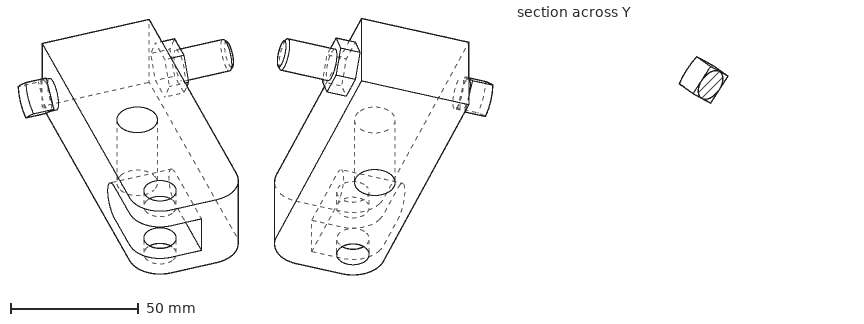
import cadquery as cq
import math

block_length = 114.3
block_width = 44.5
block_height = 31.8

end_radius = 12.7
pin_diameter = 12.7
slot_height = block_height / 2
slot_length = 38.1
slot_depth = 2 * end_radius

cross_hole_diameter = 15.9
cross_hole_y = 19.1

bolt_x = 12.7
bolt_diameter = 12.7
bolt_tip_y = 73.2
bolt_tip_chamfer = 1.1
head_side = 12.7
head_gap = 2.9
head_height = 9.7
head_dome_height = 1.3
nut_corner_diameter = 21.8
nut_height = 8.0


def xz_plane(y):
    """Sketch plane at the given Y, centred on the bolt axis, extruding toward +Y."""
    return cq.Workplane(cq.Plane(origin=(bolt_x, y, 0), xDir=(1, 0, 0), normal=(0, 1, 0)))


def make_block():
    """Block with rounded end corners, two vertical holes and a blind clevis slot."""
    block = (
        cq.Workplane("XY")
        .box(block_length, block_width, block_height, centered=(False, False, True))
        .edges("|Z and >X")
        .fillet(end_radius)
    )
    for x, y, diameter in (
        (block_length / 2, cross_hole_y, cross_hole_diameter),
        (block_length - end_radius, end_radius, pin_diameter),
    ):
        hole = cq.Workplane("XY").center(x, y).circle(diameter / 2).extrude(block_height, both=True)
        block = block.cut(hole)

    slot = (
        cq.Workplane("XZ")
        .center(block_length, 0)
        .slot2D(2 * slot_length, slot_height)
        .extrude(-slot_depth)
    )
    return block.cut(slot)


def make_shank():
    """Round shank from the head to the chamfered tip."""
    return (
        xz_plane(-head_gap)
        .circle(bolt_diameter / 2)
        .extrude(bolt_tip_y + head_gap)
        .faces(">Y")
        .chamfer(bolt_tip_chamfer)
    )


def make_head():
    """Square head standing on a corner, with a spherical outer face."""
    head = (
        xz_plane(-head_gap - head_height)
        .transformed(rotate=(0, 0, 45))
        .rect(head_side, head_side)
        .extrude(head_height)
    )
    corner_reach = head_side / math.sqrt(2)
    dome_radius = (corner_reach**2 + head_dome_height**2) / (2 * head_dome_height)
    dome_center_y = -head_gap - head_height + dome_radius
    dome = cq.Workplane("XY").sphere(dome_radius).translate((bolt_x, dome_center_y, 0))
    return head.intersect(dome)


def make_nut():
    """Hexagonal nut seated on the back face of the block."""
    return xz_plane(block_width).polygon(6, nut_corner_diameter).extrude(nut_height)


result = make_block().union(make_shank()).union(make_head()).union(make_nut())